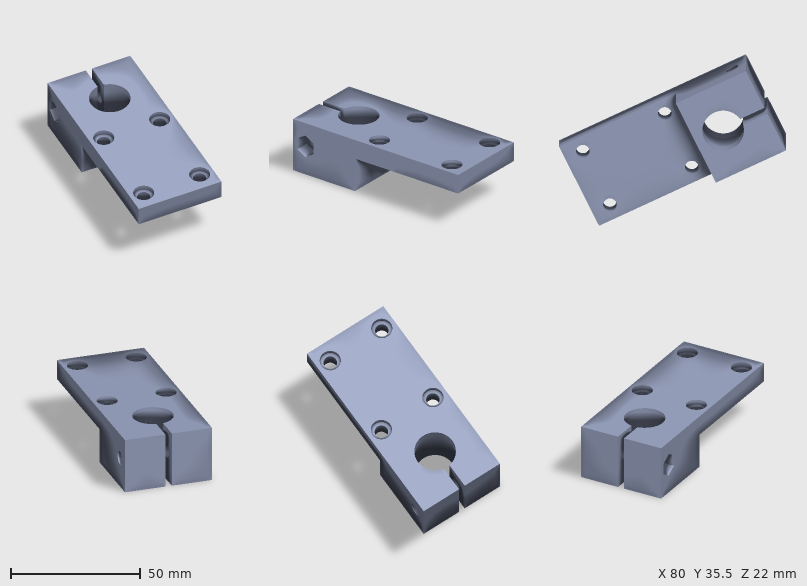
import cadquery as cq
import math

length = 80.0
width = 35.5
height = 22.0
plate_thickness = 8.0
block_length = 30.0

bore_diameter = 16.0
bore_x = 18.3
slot_width = 2.6

screw_diameter = 5.3
screw_x = 6.0
screw_z = 12.0
nut_across_flats = 8.1
nut_depth = 6.0

mount_diameter = 5.2
counterbore_diameter = 8.2
counterbore_depth = 2.0
mount_first_x = 37.5
mount_spacing_x = 35.0
mount_spacing_y = 24.0


def make_body():
    """L-shaped side profile, extruded symmetrically about Y = 0."""
    step_z = height - plate_thickness
    outline = [
        (0, 0),
        (block_length, 0),
        (block_length, step_z),
        (length, step_z),
        (length, height),
        (0, height),
    ]
    return cq.Workplane("XZ").polyline(outline).close().extrude(width / 2, both=True)


def make_clamp_opening():
    """Vertical bore joined to the -X end by a slot."""
    bore = cq.Workplane("XY").center(bore_x, 0).circle(bore_diameter / 2).extrude(height)
    slot = cq.Workplane("XY").box(bore_x, slot_width, height, centered=(False, True, False))
    return bore.union(slot)


def make_screw_opening():
    """Through hole along Y and a nut pocket with corners pointing up and down."""
    near_face = cq.Workplane("XZ", origin=(screw_x, -width / 2, screw_z))
    hole = near_face.circle(screw_diameter / 2).extrude(-width)
    corner_radius = nut_across_flats / math.sqrt(3)
    corner_angles = [math.radians(30 + 60 * i) for i in range(6)]
    corners = [(corner_radius * math.cos(a), corner_radius * math.sin(a)) for a in corner_angles]
    pocket = near_face.polyline(corners).close().extrude(-nut_depth)
    return hole.union(pocket)


def add_mount_holes(body):
    """Two-by-two grid of holes counterbored from the top face."""
    centre_x = mount_first_x + mount_spacing_x / 2
    return (
        body.faces(">Z")
        .workplane(origin=(centre_x, 0, height))
        .rarray(mount_spacing_x, mount_spacing_y, 2, 2)
        .cboreHole(mount_diameter, counterbore_diameter, counterbore_depth)
    )


body = make_body().cut(make_clamp_opening()).cut(make_screw_opening())
result = add_mount_holes(body)